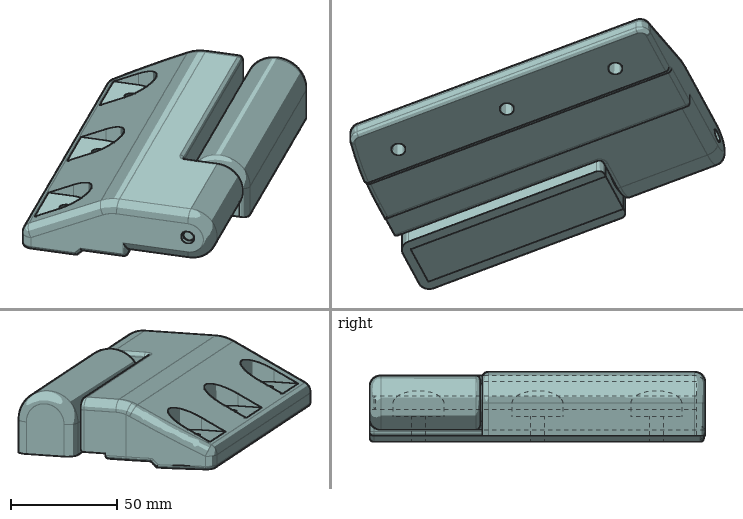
import cadquery as cq

LENGTH = 158.0
PIVOT_X = 82.0
PIVOT_Z = 18.5

LARGE_ROUND = 5.2
SMALL_ROUND = 2.0

KNUCKLE_RADIUS = 12.8
TOP_Z = PIVOT_Z + KNUCKLE_RADIUS
UNDERSIDE_Z = PIVOT_Z - KNUCKLE_RADIUS
LEFT_EDGE_HEIGHT = 10.1
RAMP_SLOPE = 0.5
RAMP_END_X = (TOP_Z - LEFT_EDGE_HEIGHT) / RAMP_SLOPE
BEND_RADIUS = 20.0
FOOT_END_X = 27.5
STEP_HEIGHT = 2.8
STEP_END_X = FOOT_END_X + STEP_HEIGHT
WALL_X = 52.3

BACK_DROP = 4.7
BACK_CURVE_END_X = 42.2
NOTCH_X = 65.0
KNUCKLE_LENGTH = 52.0

POCKET_COUNT = 3
POCKET_PITCH = 56.0
FIRST_POCKET_Y = 22.9
POCKET_X = 16.1
POCKET_RADIUS = 12.0
POCKET_FLOOR_Z = LEFT_EDGE_HEIGHT + RAMP_SLOPE * (POCKET_X - POCKET_RADIUS)
SCREW_HOLE_RADIUS = 3.3

BARREL_RADIUS = 14.5
BARREL_BOTTOM_Z = 2.8
BARREL_FRONT_ROUND = 3.0
CORE_RADIUS = 10.1
BARREL_WALL = BARREL_RADIUS - CORE_RADIUS
CORE_END_Y = LENGTH - BARREL_WALL

WASHER_RADIUS = 8.8
WASHER_THICKNESS = 1.0
BARREL_START_Y = KNUCKLE_LENGTH + WASHER_THICKNESS

PIN_RADIUS = 3.2
PIN_CHAMFER = 0.6
PIN_RECESS = 2.0


def side_plane(y):
    """XZ sketch plane at the given Y. A negative extrusion runs toward +Y."""
    return cq.Workplane("XZ", origin=(0, y, 0))


def pivot_cylinder(radius, start_y, end_y):
    """Cylinder on the pivot axis."""
    return side_plane(start_y).center(PIVOT_X, PIVOT_Z).circle(radius).extrude(start_y - end_y)


def pivot_arch(radius, start_y, end_y):
    """Block with a half-round top about the pivot axis, standing on the barrel's bottom plane."""
    return (
        side_plane(start_y)
        .moveTo(PIVOT_X - radius, BARREL_BOTTOM_Z)
        .lineTo(PIVOT_X + radius, BARREL_BOTTOM_Z)
        .lineTo(PIVOT_X + radius, PIVOT_Z)
        .threePointArc((PIVOT_X, PIVOT_Z + radius), (PIVOT_X - radius, PIVOT_Z))
        .close()
        .extrude(start_y - end_y)
    )


def round_edges(body, radius, points):
    """Round the edges that pass through the given points, with every edge tangent to them."""
    solid = body.val()
    edges = []
    for point in points:
        vertex = cq.Vertex.makeVertex(*point)
        edges.append(min(solid.Edges(), key=vertex.distance))
    return cq.Workplane(solid.fillet(radius, edges))


def leaf_profile():
    """Side profile of the leaf over the full length."""
    profile = (
        side_plane(0)
        .lineTo(FOOT_END_X, 0)
        .lineTo(STEP_END_X, STEP_HEIGHT)
        .lineTo(WALL_X, STEP_HEIGHT)
        .lineTo(WALL_X, UNDERSIDE_Z)
        .lineTo(PIVOT_X, UNDERSIDE_Z)
        .threePointArc((PIVOT_X + KNUCKLE_RADIUS, PIVOT_Z), (PIVOT_X, TOP_Z))
        .lineTo(RAMP_END_X, TOP_Z)
        .lineTo(0, LEFT_EDGE_HEIGHT)
        .close()
        .extrude(-LENGTH)
    )
    return round_edges(profile, BEND_RADIUS, [(RAMP_END_X, LENGTH / 2, TOP_Z)])


def leaf_plan():
    """Plan outline of the leaf over the full height."""
    right_x = PIVOT_X + KNUCKLE_RADIUS
    plan = (
        cq.Workplane("XY")
        .lineTo(right_x, 0)
        .lineTo(right_x, KNUCKLE_LENGTH)
        .lineTo(NOTCH_X, KNUCKLE_LENGTH)
        .lineTo(NOTCH_X, LENGTH)
        .lineTo(BACK_CURVE_END_X, LENGTH)
        .tangentArcPoint((0, LENGTH - BACK_DROP), relative=False)
        .close()
        .extrude(TOP_Z)
    )
    return round_edges(plan, SMALL_ROUND, [(NOTCH_X, KNUCKLE_LENGTH, TOP_Z / 2)])


def round_leaf(leaf):
    """Large rounds on the ends and left edge, small rounds along the bottom and the notch."""
    mid_y = LENGTH / 2
    flat_x = (RAMP_END_X + NOTCH_X) / 2
    left_mid_z = LEFT_EDGE_HEIGHT / 2
    left_back_y = LENGTH - BACK_DROP
    mid_ramp_x = RAMP_END_X / 2
    mid_ramp_z = LEFT_EDGE_HEIGHT + RAMP_SLOPE * mid_ramp_x
    outer_edges = [
        (flat_x, 0, TOP_Z),
        (mid_ramp_x, 0, mid_ramp_z),
        (0, 0, left_mid_z),
        (0, mid_y, LEFT_EDGE_HEIGHT),
        (0, left_back_y, left_mid_z),
        (flat_x, LENGTH, TOP_Z),
    ]
    leaf = round_edges(leaf, LARGE_ROUND, outer_edges)

    step_mid_x = (FOOT_END_X + STEP_END_X) / 2
    shelf_mid_x = (STEP_END_X + WALL_X) / 2
    wall_mid_z = (STEP_HEIGHT + UNDERSIDE_Z) / 2
    bottom_edges = [
        (0, mid_y, 0),
        (step_mid_x, 0, STEP_HEIGHT / 2),
        (shelf_mid_x, 0, STEP_HEIGHT),
        (WALL_X, 0, wall_mid_z),
        (WALL_X, mid_y, STEP_HEIGHT),
        (step_mid_x, LENGTH, STEP_HEIGHT / 2),
        (WALL_X - SMALL_ROUND, LENGTH, STEP_HEIGHT),
    ]
    leaf = round_edges(leaf, SMALL_ROUND, bottom_edges)
    return round_edges(leaf, SMALL_ROUND, [(NOTCH_X, mid_y, TOP_Z)])


def screw_pocket(y):
    """Pocket and screw hole to cut out of the ramp at the given Y."""
    left_x = POCKET_X - POCKET_RADIUS
    pocket = (
        cq.Workplane("XY", origin=(0, y, POCKET_FLOOR_Z))
        .moveTo(left_x, -POCKET_RADIUS)
        .lineTo(POCKET_X, -POCKET_RADIUS)
        .threePointArc((POCKET_X + POCKET_RADIUS, 0), (POCKET_X, POCKET_RADIUS))
        .lineTo(left_x, POCKET_RADIUS)
        .close()
        .extrude(TOP_Z - POCKET_FLOOR_Z)
    )
    hole = cq.Workplane("XY").center(POCKET_X, y).circle(SCREW_HOLE_RADIUS).extrude(TOP_Z)
    return pocket.union(hole)


def make_leaf():
    leaf = round_leaf(leaf_profile().intersect(leaf_plan()))
    for index in range(POCKET_COUNT):
        leaf = leaf.cut(screw_pocket(FIRST_POCKET_Y + index * POCKET_PITCH))
    return leaf.cut(pivot_cylinder(PIN_RADIUS, 0, KNUCKLE_LENGTH))


def make_barrel():
    """Arched cover, open below and at the front, where the core fills it."""
    right_x = PIVOT_X + BARREL_RADIUS
    side_z = (BARREL_BOTTOM_Z + PIVOT_Z) / 2
    barrel = pivot_arch(BARREL_RADIUS, BARREL_START_Y, LENGTH)
    barrel = round_edges(barrel, BARREL_FRONT_ROUND, [(right_x, BARREL_START_Y, side_z)])
    barrel = round_edges(barrel, LARGE_ROUND, [(right_x, LENGTH, side_z)])
    return barrel.cut(pivot_arch(CORE_RADIUS, BARREL_START_Y, CORE_END_Y))


def make_core():
    """Core that fills the barrel and carries the pin."""
    core = pivot_arch(CORE_RADIUS, BARREL_START_Y, CORE_END_Y)
    return core.cut(pivot_cylinder(PIN_RADIUS, BARREL_START_Y, CORE_END_Y))


def make_washer():
    disc = pivot_cylinder(WASHER_RADIUS, KNUCKLE_LENGTH, BARREL_START_Y)
    return disc.cut(pivot_cylinder(PIN_RADIUS, KNUCKLE_LENGTH, BARREL_START_Y))


def make_pin():
    return pivot_cylinder(PIN_RADIUS, PIN_RECESS, CORE_END_Y).faces("<Y").chamfer(PIN_CHAMFER)


leaf = make_leaf().solids()
barrel = make_barrel().solids()
core = make_core().solids()
washer = make_washer().solids()
pin = make_pin().solids()

result = cq.Compound.makeCompound([leaf.val(), barrel.val(), core.val(), washer.val(), pin.val()])